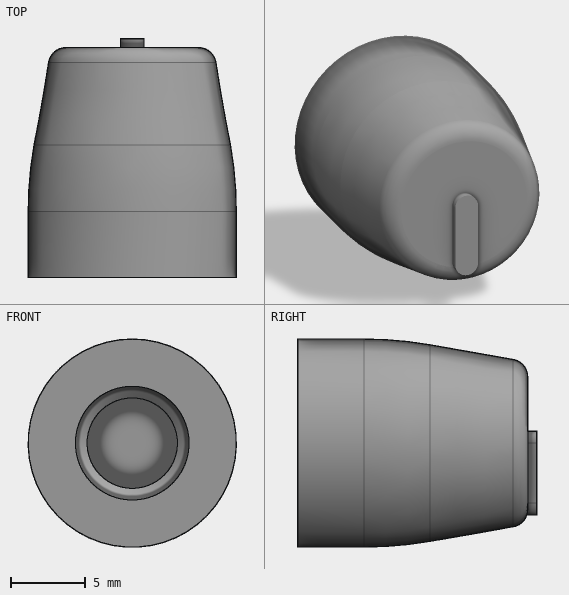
import cadquery as cq
import math

base_radius = 6.96
base_length = 4.42
crown_length = 4.42
taper_angle = math.radians(10)
nose_radius = 1.2
body_length = 15.37

entry_radius = 3.8
entry_depth = 2.95
shaft_radius = 3.02
bore_depth = 12.0

pointer_width = 1.6
pointer_center_span = 4.0
pointer_height = 0.6
pointer_root = 1.5


def revolve_about_y(profile):
    """Turn a closed (distance along Y, radius) profile around the Y axis."""
    return profile.revolve(360, (0, 0, 0), (1, 0, 0))


def make_body():
    crown_arc_radius = crown_length / math.sin(taper_angle)
    crown_center_radius = base_radius - crown_arc_radius

    def crown_point(angle):
        return (
            base_length + crown_arc_radius * math.sin(angle),
            crown_center_radius + crown_arc_radius * math.cos(angle),
        )

    crown_end_y, crown_end_radius = crown_point(taper_angle)

    nose_center_y = body_length - nose_radius
    taper_end_y = nose_center_y + nose_radius * math.sin(taper_angle)
    taper_end_radius = crown_end_radius - (taper_end_y - crown_end_y) * math.tan(taper_angle)
    nose_center_radius = taper_end_radius - nose_radius * math.cos(taper_angle)
    nose_mid_angle = (taper_angle + math.pi / 2) / 2
    nose_mid = (
        nose_center_y + nose_radius * math.sin(nose_mid_angle),
        nose_center_radius + nose_radius * math.cos(nose_mid_angle),
    )

    profile = (
        cq.Workplane("YZ")
        .lineTo(0, base_radius)
        .lineTo(base_length, base_radius)
        .threePointArc(crown_point(taper_angle / 2), (crown_end_y, crown_end_radius))
        .lineTo(taper_end_y, taper_end_radius)
        .threePointArc(nose_mid, (body_length, nose_center_radius))
        .lineTo(body_length, 0)
        .close()
    )
    return revolve_about_y(profile)


def make_bore():
    cone_end = entry_depth + entry_radius - shaft_radius
    profile = (
        cq.Workplane("YZ")
        .lineTo(0, entry_radius)
        .lineTo(entry_depth, entry_radius)
        .lineTo(cone_end, shaft_radius)
        .lineTo(bore_depth, shaft_radius)
        .lineTo(bore_depth, 0)
        .close()
    )
    return revolve_about_y(profile)


def make_pointer():
    return (
        cq.Workplane("XZ", origin=(0, body_length + pointer_height, 0))
        .center(0, -pointer_center_span / 2)
        .slot2D(pointer_center_span + pointer_width, pointer_width, 90)
        .extrude(pointer_height + pointer_root)
    )


result = make_body().union(make_pointer()).cut(make_bore())